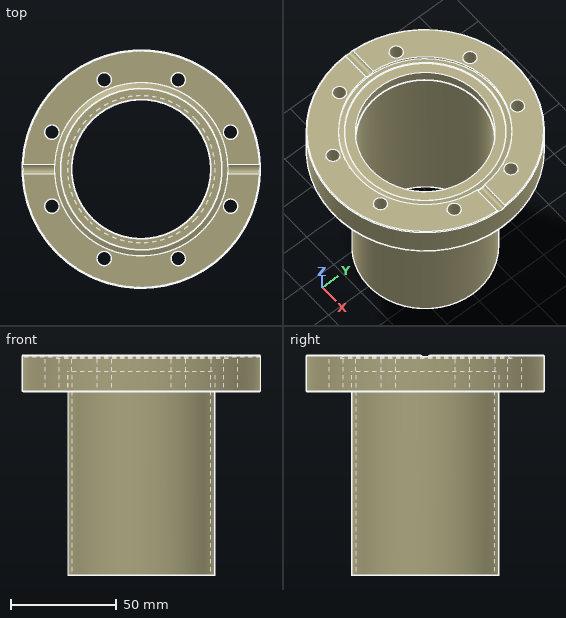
import cadquery as cq
import math

flange_diameter = 113.5
flange_height = 17.7
total_height = 105.0
top_chamfer = 0.5
bottom_chamfer = 0.6

tube_outer_diameter = 70.0
tube_inner_diameter = 66.0
bore_diameter = 66.5
socket_diameter = 70.3
tube_end_depth = 7.8

recess_diameter = 82.5
knife_diameter = 77.1
floor_diameter = 76.6
knife_tip_depth = 0.7
knife_slope = 20.0
floor_depth = 1.2

bolt_count = 8
bolt_circle_diameter = 92.0
bolt_hole_diameter = 6.7

groove_width = 4.7
groove_depth = 1.0

flange_radius = flange_diameter / 2
recess_radius = recess_diameter / 2
knife_radius = knife_diameter / 2
floor_radius = floor_diameter / 2
bore_radius = bore_diameter / 2
socket_radius = socket_diameter / 2
knife_foot_depth = knife_tip_depth + (recess_radius - knife_radius) * math.tan(math.radians(knife_slope))
groove_radius = ((groove_width / 2) ** 2 + groove_depth ** 2) / (2 * groove_depth)
groove_start = math.sqrt(recess_radius**2 - (groove_width / 2) ** 2)


def make_flange_ring():
    """Revolve the flange section with its knife edge and stepped bore."""
    section = (
        cq.Workplane("XZ")
        .moveTo(socket_radius, -flange_height)
        .lineTo(flange_radius - bottom_chamfer, -flange_height)
        .lineTo(flange_radius, -flange_height + bottom_chamfer)
        .lineTo(flange_radius, -top_chamfer)
        .lineTo(flange_radius - top_chamfer, 0)
        .lineTo(recess_radius, 0)
        .lineTo(recess_radius, -knife_foot_depth)
        .lineTo(knife_radius, -knife_tip_depth)
        .lineTo(floor_radius, -floor_depth)
        .lineTo(bore_radius, -floor_depth)
        .lineTo(bore_radius, -tube_end_depth)
        .lineTo(socket_radius, -tube_end_depth)
        .close()
    )
    return section.revolve(360, (0, 0, 0), (0, 1, 0))


def make_bolt_holes():
    """Through-hole cutters, with the X and Y axes midway between holes."""
    return (
        cq.Workplane("XY")
        .polarArray(bolt_circle_diameter / 2, 180 / bolt_count, 360, bolt_count)
        .circle(bolt_hole_diameter / 2)
        .extrude(-flange_height)
    )


def make_leak_groove(side):
    """Round groove cutter from the recess wall to the rim on one X side."""
    return (
        cq.Workplane("YZ")
        .workplane(offset=side * groove_start)
        .center(0, groove_radius - groove_depth)
        .circle(groove_radius)
        .extrude(side * (flange_radius - groove_start))
    )


def make_flange():
    flange = make_flange_ring().cut(make_bolt_holes())
    for side in (-1, 1):
        flange = flange.cut(make_leak_groove(side))
    return flange


def make_tube():
    """Plain tube whose upper end seats against the socket shoulder."""
    return (
        cq.Workplane("XY")
        .workplane(offset=-total_height)
        .circle(tube_outer_diameter / 2)
        .circle(tube_inner_diameter / 2)
        .extrude(total_height - tube_end_depth)
    )


flange = make_flange()
tube = make_tube()

result = cq.Compound.makeCompound([flange.val(), tube.val()])